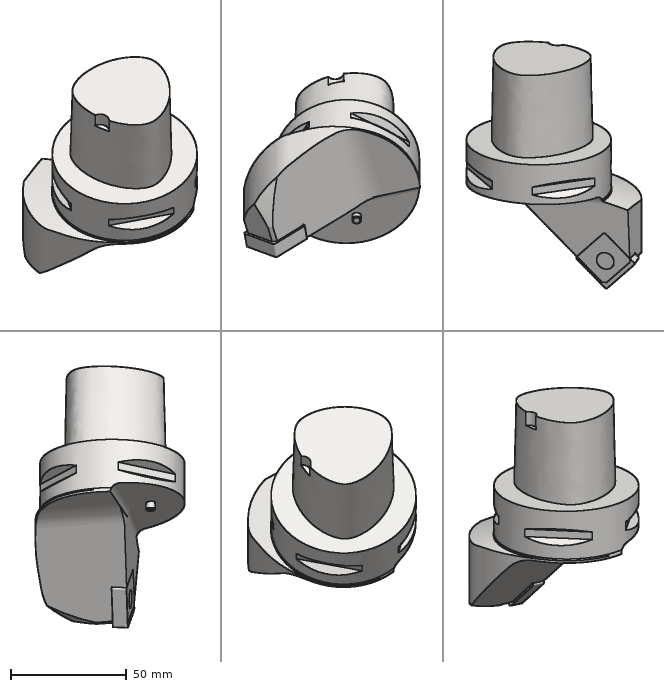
import cadquery as cq
import math


SHANK_HEIGHT = 37.8
BASE_RADIUS = 22.0
BASE_LOBE = 1.6
TOP_RADIUS = 21.2
TOP_LOBE = 1.5
NOTCH_RADIUS = 4.0
NOTCH_DEPTH = 6.3
NOTCH_AXIS_Y = -21.4

FLANGE_RADIUS = 63.0 / 2
FLANGE_HEIGHT = 22.2
LIP_RADIUS = 31.8
LIP_TOP = -23.0
LIP_BOTTOM = -24.1
SLOT_FLOOR = 27.9
SLOT_CENTRE_Z = -12.2
SLOT_FLOOR_HEIGHT = 3.5
SLOT_FLANK_ANGLE = 30
SLOT_COUNT = 4

HEAD_LEFT = -42.8
HEAD_FRONT = -35.6
HEAD_RIGHT = 17.4
RELIEF_START_Y = -14.1
RELIEF_END_Y = -35.9
RELIEF_END_Z = -54.1
SHOULDER_REACH = 15.4
FLANK_ANGLE = 45
SHOULDER_ANGLE = 15
HEAD_BOTTOM = -61.8
BOTTOM_LEFT = -31.9
BOTTOM_RIGHT = -29.7
FLANK_BLEND = 15.4
SPACE = 102.5

UNDERSIDE_EDGE = -18.2
UNDERSIDE_SLOPE = 0.08
WALL_Y = 6.0
CHIP_BLEND = 4.6
RAKE_SLOPE = 0.09

NOZZLE_DIAMETER = 4.0
NOZZLE_Y = 17.0
NOZZLE_BOTTOM = -22.8
NOZZLE_CHAMFER = 0.5

INSERT_SIDE = 19.3
INSERT_THICKNESS = 6.6
INSERT_CORNER = 0.8
INSERT_HOLE = 7.9
INSERT_X = -31.7
INSERT_Y = 0.9
INSERT_Z = -51.4


def rake_y(x, z):
    """Y of the rake plane, which holds the insert's outer face."""
    return INSERT_Y + RAKE_SLOPE * (x - INSERT_X + z - INSERT_Z)


def underside_z(y):
    return UNDERSIDE_EDGE - UNDERSIDE_SLOPE * (FLANGE_RADIUS - y)


def lobed_point(turn, radius, lobe):
    """Point of a constant-width three-lobed outline, one lobe pointing to +Y."""
    angle = 2 * math.pi * turn
    reach = radius - lobe * math.sin(3 * angle)
    rate = -3 * lobe * math.cos(3 * angle)
    return (
        reach * math.cos(angle) - rate * math.sin(angle),
        reach * math.sin(angle) + rate * math.cos(angle),
    )


def make_shank():
    shank = (
        cq.Workplane("XY")
        .parametricCurve(lambda turn: lobed_point(turn, BASE_RADIUS, BASE_LOBE))
        .workplane(offset=SHANK_HEIGHT)
        .parametricCurve(lambda turn: lobed_point(turn, TOP_RADIUS, TOP_LOBE))
        .loft(ruled=True)
    )
    notch = (
        cq.Workplane("XY", origin=(0, NOTCH_AXIS_Y, SHANK_HEIGHT - NOTCH_DEPTH))
        .circle(NOTCH_RADIUS)
        .extrude(NOTCH_DEPTH)
    )
    return shank.cut(notch)


def make_flange():
    flange = (
        cq.Workplane("XZ")
        .moveTo(0, 0)
        .lineTo(FLANGE_RADIUS, 0)
        .lineTo(FLANGE_RADIUS, -FLANGE_HEIGHT)
        .lineTo(LIP_RADIUS, LIP_TOP)
        .lineTo(LIP_RADIUS, LIP_BOTTOM)
        .lineTo(0, LIP_BOTTOM)
        .close()
        .revolve(360, (0, 0, 0), (0, 1, 0))
    )
    floor = SLOT_FLOOR_HEIGHT / 2
    depth = LIP_RADIUS - SLOT_FLOOR
    mouth = floor + depth * math.tan(math.radians(SLOT_FLANK_ANGLE))
    slot = (
        cq.Workplane("XZ", origin=(0, 0, SLOT_CENTRE_Z))
        .polyline([
            (SLOT_FLOOR, -floor),
            (SLOT_FLOOR, floor),
            (LIP_RADIUS, mouth),
            (LIP_RADIUS, -mouth),
        ])
        .close()
        .extrude(FLANGE_RADIUS, both=True)
    )
    for index in range(SLOT_COUNT):
        angle = (index + 0.5) * 360 / SLOT_COUNT
        flange = flange.cut(slot.rotate((0, 0, 0), (0, 0, 1), angle))
    return flange


def shoulder_envelope():
    """Space below the conical shoulder that leads from the lip to the head."""
    outer = LIP_RADIUS + SHOULDER_REACH
    fall = SHOULDER_REACH * math.tan(math.radians(SHOULDER_ANGLE))
    return (
        cq.Workplane("XZ")
        .polyline([
            (0, LIP_TOP),
            (LIP_RADIUS, LIP_TOP),
            (outer, LIP_TOP - fall),
            (outer, -SPACE),
            (0, -SPACE),
        ])
        .close()
        .revolve(360, (0, 0, 0), (0, 1, 0))
    )


def flank_envelope():
    """Space kept between the two 45 degree flanks, through the whole depth."""
    corner_x = BOTTOM_RIGHT + LIP_BOTTOM - HEAD_BOTTOM
    half_turn = math.radians(FLANK_ANGLE / 2)
    tangent = FLANK_BLEND * math.tan(half_turn)
    diagonal = tangent * math.cos(math.radians(FLANK_ANGLE))
    middle_run = FLANK_BLEND * math.sin(half_turn)
    middle_drop = FLANK_BLEND * (1 - math.cos(half_turn))
    return (
        cq.Workplane("XZ")
        .moveTo(BOTTOM_LEFT, HEAD_BOTTOM)
        .lineTo(BOTTOM_RIGHT, HEAD_BOTTOM)
        .lineTo(corner_x - diagonal, LIP_BOTTOM - diagonal)
        .threePointArc(
            (corner_x + tangent - middle_run, LIP_BOTTOM - middle_drop),
            (corner_x + tangent, LIP_BOTTOM),
        )
        .lineTo(SPACE, LIP_BOTTOM)
        .lineTo(SPACE, 0)
        .lineTo(BOTTOM_LEFT + HEAD_BOTTOM, 0)
        .close()
        .extrude(SPACE, both=True)
    )


def front_relief():
    """Space removed below the head, curving up toward its front side."""
    return (
        cq.Workplane("YZ")
        .moveTo(RELIEF_START_Y, HEAD_BOTTOM)
        .threePointArc((-25.8, -58.4), (RELIEF_END_Y, RELIEF_END_Z))
        .lineTo(RELIEF_END_Y, -SPACE)
        .lineTo(RELIEF_START_Y, -SPACE)
        .close()
        .extrude(SPACE, both=True)
    )


def make_head():
    outline = (
        cq.Workplane("XY", origin=(0, 0, -SPACE))
        .moveTo(HEAD_LEFT, WALL_Y)
        .lineTo(HEAD_LEFT, -13.5)
        .threePointArc((-35.0, -25.7), (-23.1, -34.2))
        .threePointArc((-20.0, -35.3), (-16.8, HEAD_FRONT))
        .lineTo(-10.6, HEAD_FRONT)
        .threePointArc((4.8, -33.0), (HEAD_RIGHT, -26.5))
        .lineTo(HEAD_RIGHT, WALL_Y)
        .close()
        .extrude(SPACE)
    )
    head = outline.intersect(shoulder_envelope()).intersect(flank_envelope())
    return head.cut(front_relief())


def chip_space(wall_y, wall_slope):
    """Space behind a wall and below the flange underside, blended between them."""
    corner_z = underside_z(wall_y)
    space = (
        cq.Workplane("YZ")
        .polyline([
            (wall_y, corner_z),
            (SPACE, underside_z(SPACE)),
            (SPACE, -SPACE),
            (wall_y - wall_slope * (SPACE + corner_z), -SPACE),
        ])
        .close()
        .extrude(SPACE, both=True)
    )
    corner = cq.selectors.NearestToPointSelector((0, wall_y, corner_z))
    return space.edges(corner).fillet(CHIP_BLEND)


def make_nozzle():
    top = underside_z(NOZZLE_Y + NOZZLE_DIAMETER)
    return (
        cq.Workplane("XY", origin=(0, NOZZLE_Y, NOZZLE_BOTTOM))
        .circle(NOZZLE_DIAMETER / 2)
        .extrude(top - NOZZLE_BOTTOM)
        .faces("<Z")
        .chamfer(NOZZLE_CHAMFER)
    )


def make_insert_blank():
    rake = cq.Plane(
        origin=(INSERT_X, INSERT_Y, INSERT_Z),
        xDir=(1, 2 * RAKE_SLOPE, 1),
        normal=(-RAKE_SLOPE, 1, -RAKE_SLOPE),
    )
    return (
        cq.Workplane(rake)
        .sketch()
        .rect(INSERT_SIDE, INSERT_SIDE)
        .vertices()
        .fillet(INSERT_CORNER)
        .finalize()
        .extrude(-INSERT_THICKNESS)
    )


def make_insert():
    centre = (INSERT_X, INSERT_Y, INSERT_Z)
    return make_insert_blank().faces(">Y").workplane(origin=centre).hole(INSERT_HOLE)


def make_holder():
    axis_wall_y = rake_y(0, underside_z(WALL_Y))
    rake_turn = math.degrees(math.atan(RAKE_SLOPE))
    rake_space = chip_space(axis_wall_y, RAKE_SLOPE).rotate((0, 0, 0), (0, 0, 1), rake_turn)
    holder = make_flange().union(make_head())
    holder = holder.cut(chip_space(WALL_Y, 0)).cut(rake_space)
    holder = holder.union(make_shank()).union(make_nozzle())
    return holder.cut(make_insert_blank())


holder = make_holder()
insert = make_insert()

result = cq.Compound.makeCompound([holder.val(), insert.val()])